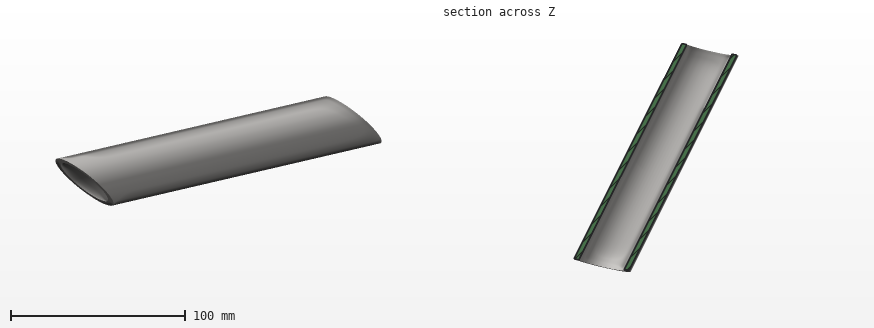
import cadquery as cq

overall_length = 233.5
outer_diameter = 33.5
bore_diameter = 27.0

half_length = overall_length / 2
outer_radius = outer_diameter / 2
miter_setback = outer_diameter


def cylinder_along_y(diameter):
    """Round bar centred on the origin, spanning the overall length."""
    return cq.Workplane("XZ").circle(diameter / 2).extrude(half_length, both=True)


def mitred_envelope():
    """Side outline of the tube: top edge reaches -Y, bottom edge reaches +Y."""
    outline = [
        (-half_length, outer_radius),
        (half_length - miter_setback, outer_radius),
        (half_length, -outer_radius),
        (-half_length + miter_setback, -outer_radius),
    ]
    return cq.Workplane("YZ").polyline(outline).close().extrude(outer_diameter, both=True)


tube = cylinder_along_y(outer_diameter).cut(cylinder_along_y(bore_diameter))
result = tube.intersect(mitred_envelope())